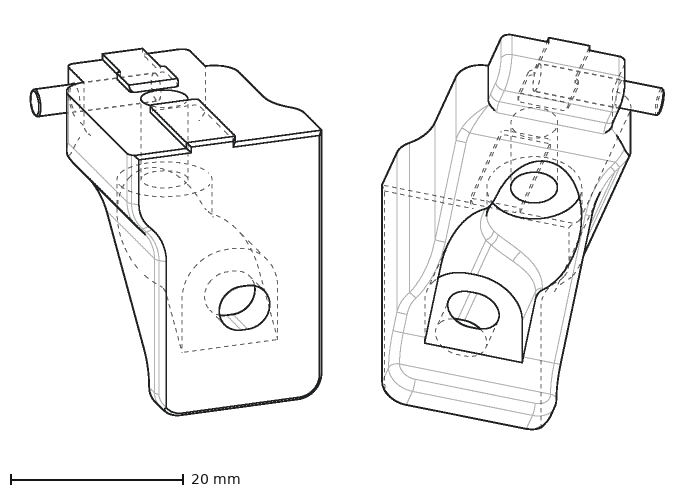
import cadquery as cq
import math


END_X = 16.02
BACK_Y = 13.65
BOTTOM_Z = -33.1
BLOCK_FRONT_X = -8.0
BLOCK_BACK_Y = 11.0
BLOCK_SIDE_Y = -10.0
BLOCK_SIDE_DEPTH = 6.0
LEG_SIDE_Y = -6.62
LEG_THICKNESS = 4.0
LEG_FRONT_X = END_X - LEG_THICKNESS
STEP_END_X = 9.75

CORNER_R = 3.0
SWEEP_R = 5.0
STEP_R = 6.0
EDGE_R = 1.0
SIDE_CHAMFER = 0.98
END_CHAMFER = 0.45

TAB_FRONT_X = -14.0
TAB_SIDE_Y = BLOCK_SIDE_Y + CORNER_R
TAB_BACK_Y = BLOCK_BACK_Y - CORNER_R
TAB_BOTTOM_Z = -BLOCK_SIDE_DEPTH

PAD_HEIGHT = 0.7
PAD_HALF_WIDTH = 3.0
PAD_NECK_HALF_WIDTH = 2.47
PAD_CORNER_R = 0.5
FRONT_PAD_END_X = -3.0
REAR_PAD_START_X = 3.0

SCREW_DIA = 5.4
SCREW_HEAD_DIA = 11.0
VERTICAL_SEAT_Z = -10.0
SLOT_STRETCH = 0.8
SLOT_Y = 4.0
SLOT_Z = -20.62
SLOT_SEAT_X = 11.02

PIN_DIA = 3.2
PIN_HOLE_DIA = 3.3
PIN_X = -11.0
PIN_Z = -3.0
PIN_TIP_Y = -11.93
PIN_CHAMFER = 0.17
PIN_EMBEDDED = 10.0

TOL = 0.05

TURN = math.radians(45)
RUN = math.sin(TURN)
RISE = 1 - math.cos(TURN)
MID_RUN = math.sin(TURN / 2)
MID_RISE = 1 - math.cos(TURN / 2)


def s_depth(width):
    """Height of an S curve with the given sideways width."""
    return 2 * SWEEP_R * (RUN - RISE) + width


def s_curve(sketch, start, width):
    """Add a downward S of two 45 degree arcs joined by a 45 degree line, moving over by `width`."""
    depth = s_depth(width)

    def place(down, over):
        return (start[0] + over, start[1] - down)

    return (
        sketch
        .threePointArc(place(SWEEP_R * MID_RUN, SWEEP_R * MID_RISE), place(SWEEP_R * RUN, SWEEP_R * RISE))
        .lineTo(*place(depth - SWEEP_R * RUN, width - SWEEP_R * RISE))
        .threePointArc(place(depth - SWEEP_R * MID_RUN, width - SWEEP_R * MID_RISE), place(depth, width))
    )


UNDERSIDE_END_Z = -BLOCK_SIDE_DEPTH - s_depth(LEG_FRONT_X - BLOCK_FRONT_X)
LEG_CORNER_R = UNDERSIDE_END_Z - BOTTOM_Z


def side_wall_edges(x):
    """Box around the edges that run down the -Y side of block and leg at the given X."""
    return cq.selectors.BoxSelector(
        (x - TOL, BLOCK_SIDE_Y - TOL, BOTTOM_Z + TOL), (x + TOL, LEG_SIDE_Y + SIDE_CHAMFER, -TOL)
    )


def plain_side_prism():
    """Block and leg along X: an S curve on the -Y side narrows the block down to the leg."""
    start = (BLOCK_SIDE_Y, -BLOCK_SIDE_DEPTH)
    sketch = cq.Workplane("YZ", origin=(BLOCK_FRONT_X, 0, 0)).moveTo(BLOCK_SIDE_Y, 0).lineTo(*start)
    sketch = s_curve(sketch, start, LEG_SIDE_Y - BLOCK_SIDE_Y)
    sketch = sketch.lineTo(LEG_SIDE_Y, BOTTOM_Z).lineTo(BACK_Y, BOTTOM_Z).lineTo(BACK_Y, 0).close()
    return sketch.extrude(END_X - BLOCK_FRONT_X)


def round_leg_corners(prism):
    """Round the two bottom corners of the leg."""
    return prism.faces("<Z").edges("|X").fillet(LEG_CORNER_R)


def side_prism():
    """Side prism with a broad chamfer, rounded where it starts, down the -Y edge of its end face."""
    chamfered = plain_side_prism().edges(side_wall_edges(END_X)).chamfer(SIDE_CHAMFER)
    prism = round_leg_corners(plain_side_prism()).intersect(chamfered)
    return prism.edges(side_wall_edges(END_X - SIDE_CHAMFER)).fillet(EDGE_R)


def front_prism():
    """Block and leg along Y: a 45 degree underside runs from the block down to the leg."""
    start = (BLOCK_FRONT_X, -BLOCK_SIDE_DEPTH)
    sketch = cq.Workplane("XZ", origin=(0, BACK_Y, 0)).moveTo(BLOCK_FRONT_X, 0).lineTo(*start)
    sketch = s_curve(sketch, start, LEG_FRONT_X - BLOCK_FRONT_X)
    sketch = sketch.lineTo(LEG_FRONT_X, BOTTOM_Z).lineTo(END_X, BOTTOM_Z).lineTo(END_X, 0).close()
    return sketch.extrude(BACK_Y - BLOCK_SIDE_Y)


def plan_prism():
    """Block and leg along Z: rounded front corners and a back step of two tangent arcs."""
    step_angle = math.acos(1 - (BACK_Y - BLOCK_BACK_Y) / (STEP_R + CORNER_R))
    join_x = STEP_END_X - CORNER_R * math.sin(step_angle)
    join_y = BACK_Y - CORNER_R * (1 - math.cos(step_angle))
    prism = (
        cq.Workplane("XY")
        .moveTo(BLOCK_FRONT_X, BLOCK_SIDE_Y)
        .lineTo(BLOCK_FRONT_X, BLOCK_BACK_Y)
        .lineTo(join_x - STEP_R * math.sin(step_angle), BLOCK_BACK_Y)
        .tangentArcPoint((join_x, join_y), relative=False)
        .tangentArcPoint((STEP_END_X, BACK_Y), relative=False)
        .lineTo(END_X, BACK_Y)
        .lineTo(END_X, BLOCK_SIDE_Y)
        .close()
        .extrude(BOTTOM_Z)
    )
    return prism.faces("<X").edges("|Z").fillet(CORNER_R)


def block_and_leg():
    """Common volume of the three prisms, with the whole rim of the underside rounded."""
    body = side_prism().intersect(front_prism()).intersect(plan_prism())
    lower_rim = cq.selectors.NearestToPointSelector((LEG_FRONT_X, SLOT_Y, BOTTOM_Z))
    return body.edges(lower_rim).fillet(EDGE_R)


def tab():
    """Plate in front of the block, blending into the block's curved underside."""
    curve_x = BLOCK_FRONT_X + SWEEP_R
    blend_angle = math.asin(EDGE_R / (SWEEP_R + EDGE_R))

    def around_curve(radius):
        return (curve_x - radius * math.cos(blend_angle), TAB_BOTTOM_Z - radius * math.sin(blend_angle))

    blend_x, blend_z = around_curve(SWEEP_R + EDGE_R)
    half_blend = (math.pi / 2 - blend_angle) / 2
    blend_mid = (blend_x + EDGE_R * math.sin(half_blend), blend_z + EDGE_R * math.cos(half_blend))
    plate = (
        cq.Workplane("XZ", origin=(0, TAB_BACK_Y, 0))
        .moveTo(curve_x, 0)
        .lineTo(TAB_FRONT_X, 0)
        .lineTo(TAB_FRONT_X, TAB_BOTTOM_Z + CORNER_R)
        .radiusArc((TAB_FRONT_X + CORNER_R, TAB_BOTTOM_Z), -CORNER_R)
        .lineTo(blend_x, TAB_BOTTOM_Z)
        .threePointArc(blend_mid, around_curve(SWEEP_R))
        .lineTo(curve_x, TAB_BOTTOM_Z)
        .close()
        .extrude(TAB_BACK_Y - TAB_SIDE_Y)
    )
    return plate.faces("<X").edges("|Z").fillet(EDGE_R)


def pad(start_x, end_x, half_width):
    """Rectangular pad on the deck, centred on Y = 0."""
    box = cq.Workplane("XY").box(end_x - start_x, 2 * half_width, PAD_HEIGHT, centered=(False, True, False))
    return box.translate((start_x, 0, 0))


def front_pad():
    """Pad with a narrow neck over the tab and a 45 degree ramp facing the screw hole."""
    wide = pad(BLOCK_FRONT_X, FRONT_PAD_END_X, PAD_HALF_WIDTH).edges("|Z").fillet(PAD_CORNER_R)
    neck = pad(TAB_FRONT_X, BLOCK_FRONT_X + PAD_CORNER_R, PAD_NECK_HALF_WIDTH)
    ramped = (
        cq.Workplane("XZ", origin=(0, PAD_HALF_WIDTH, 0))
        .moveTo(TAB_FRONT_X, 0)
        .lineTo(FRONT_PAD_END_X, 0)
        .lineTo(FRONT_PAD_END_X - PAD_HEIGHT, PAD_HEIGHT)
        .lineTo(TAB_FRONT_X, PAD_HEIGHT)
        .close()
        .extrude(2 * PAD_HALF_WIDTH)
    )
    return wide.union(neck).intersect(ramped)


def rear_pad():
    """Pad from the screw hole to the end face."""
    return pad(REAR_PAD_START_X, END_X, PAD_HALF_WIDTH).edges("<X and |Z").fillet(PAD_CORNER_R)


def chamfered_end():
    """Envelope of block, leg and rear pad with the whole rim of the end face chamfered."""
    envelope = round_leg_corners(plain_side_prism()).union(rear_pad())
    return envelope.faces(">X").edges().chamfer(END_CHAMFER)


def vertical_hole():
    """Screw hole through the block, with a deep head recess open at the underside."""
    shank = cq.Workplane("XY").circle(SCREW_DIA / 2).extrude(BOTTOM_Z)
    head = cq.Workplane("XY", origin=(0, 0, VERTICAL_SEAT_Z)).circle(SCREW_HEAD_DIA / 2)
    return shank.union(head.extrude(BOTTOM_Z - VERTICAL_SEAT_Z))


def slot_hole():
    """Slotted screw hole through the leg, with a round-topped recess cut from the front."""
    seat = cq.Workplane("YZ", origin=(SLOT_SEAT_X, SLOT_Y, SLOT_Z))
    shank = seat.slot2D(SCREW_DIA + SLOT_STRETCH, SCREW_DIA).extrude(END_X - SLOT_SEAT_X)
    recess_width = SCREW_HEAD_DIA + SLOT_STRETCH
    recess_depth = SLOT_SEAT_X - TAB_FRONT_X
    recess_top = seat.slot2D(recess_width, SCREW_HEAD_DIA).extrude(-recess_depth)
    lower_height = SLOT_Z - BOTTOM_Z
    recess_lower = seat.center(0, -lower_height / 2).rect(recess_width, lower_height).extrude(-recess_depth)
    return shank.union(recess_top).union(recess_lower)


def round_recess_meeting(body):
    """Round the curved edge where the two screw head recesses meet."""
    head_r = SCREW_HEAD_DIA / 2
    meeting_point = (head_r, 0, SLOT_Z + head_r * RUN)
    return body.edges(cq.selectors.NearestToPointSelector(meeting_point)).fillet(EDGE_R)


def pin_hole():
    """Blind hole for the pin in the side of the tab."""
    mouth = cq.Workplane("XZ", origin=(PIN_X, TAB_SIDE_Y, PIN_Z))
    return mouth.circle(PIN_HOLE_DIA / 2).extrude(-PIN_EMBEDDED)


def make_bracket():
    body = block_and_leg().union(rear_pad()).intersect(chamfered_end())
    body = body.union(tab()).union(front_pad())
    body = body.cut(vertical_hole()).cut(slot_hole())
    body = round_recess_meeting(body)
    return body.cut(pin_hole())


def make_pin():
    """Round pin with a chamfered tip, reaching the bottom of its hole."""
    length = TAB_SIDE_Y - PIN_TIP_Y + PIN_EMBEDDED
    shaft = cq.Workplane("XZ", origin=(PIN_X, PIN_TIP_Y, PIN_Z)).circle(PIN_DIA / 2).extrude(-length)
    return shaft.faces("<Y").edges().chamfer(PIN_CHAMFER)


bracket = make_bracket()
pin = make_pin()
result = cq.Compound.makeCompound([bracket.solids().val(), pin.val()])